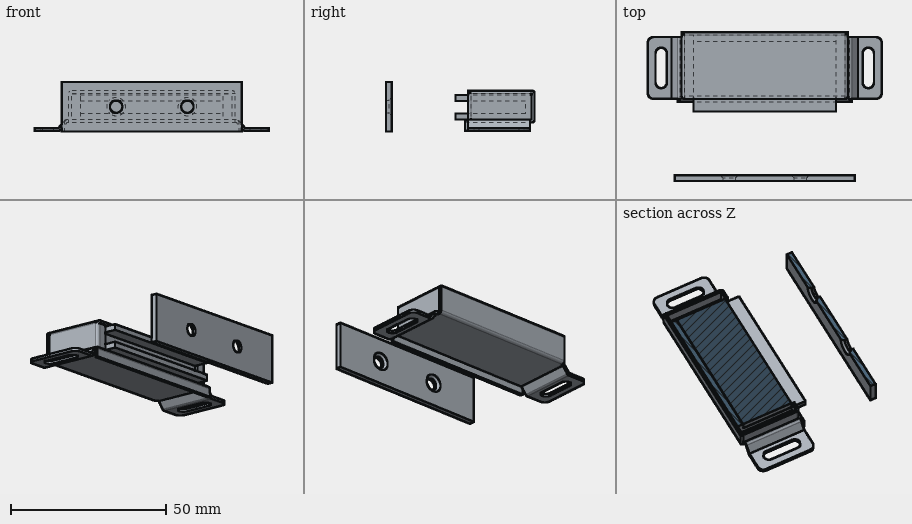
import cadquery as cq
import math


sheet = 1.0
seam = 0.1

housing_length = 53.6
housing_depth = 21.5
housing_top = 13.0
floor_top = 3.6
floor_bottom = floor_top - sheet
ceiling = housing_top - sheet
back_inside = housing_depth - sheet
side_inside = housing_length / 2 - sheet

total_length = 75.5
foot_depth = 20.0
foot_corner_radius = 2.0
foot_bend_start = 27.3
foot_bend_angle = 50.0
slot_length = 13.0
slot_width = 3.55
slot_offset = 33.4
lip_length = 2 * 28.1

yoke_length = 46.05
yoke_thickness = 2.0
yoke_height = 7.9
yoke_reach = 4.1
yoke_depth = yoke_reach + back_inside
magnet_height = yoke_height - 2 * yoke_thickness
magnet_depth = back_inside - yoke_thickness - sheet

strike_length = 58.05
strike_height = 16.0
strike_thickness = 2.0
strike_bottom = -0.2
strike_back = -24.5
strike_hole_diameter = 4.0
strike_hole_spacing = 22.95
countersink_diameter = 6.0
countersink_angle = 90.0


def block(x_size, y_size, z_size, y_min, z_min, x_center=0):
    """Box placed by its X centre, its front and its underside."""
    return (
        cq.Workplane("XY")
        .box(x_size, y_size, z_size, centered=(True, False, False))
        .translate((x_center, y_min, z_min))
    )


def make_shell():
    """Box of folded sheet, with its front open between two narrow side returns."""
    height = housing_top - floor_bottom
    plain = block(housing_length, housing_depth, height, 0, floor_bottom)
    top_folds = plain.edges("|Y and >Z").fillet(sheet)
    back_folds = plain.edges("|X and >Y").fillet(sheet)
    return_folds = plain.edges("|Z and <Y").fillet(sheet)
    shell = top_folds.intersect(back_folds).intersect(return_folds)
    cavity = block(2 * side_inside, back_inside - sheet, ceiling - floor_top, sheet, floor_top)
    mouth = block(yoke_length, sheet, ceiling - floor_top, 0, floor_top)
    return shell.cut(cavity).cut(mouth)


def cut_seams(shell):
    """Open the gaps that leave the sides hanging from the top only."""
    return_width = side_inside - yoke_length / 2
    return_center = (side_inside + yoke_length / 2) / 2
    wall_height = ceiling - floor_top
    for side in (-1, 1):
        wall_center = side * (side_inside + sheet / 2)
        back_seam = block(sheet, seam, wall_height, back_inside - seam, floor_top, wall_center)
        floor_seam = block(sheet, back_inside, seam, 0, floor_top, wall_center)
        return_floor_seam = block(return_width, sheet, seam, 0, floor_top, side * return_center)
        return_top_seam = block(return_width, sheet, seam, 0, ceiling - seam, side * return_center)
        shell = shell.cut(back_seam).cut(floor_seam).cut(return_floor_seam).cut(return_top_seam)
    return shell


def make_foot():
    """Foot on the +X side: floor strip, sloping leg and slotted pad."""
    angle = math.radians(foot_bend_angle)
    arc_x = sheet * math.sin(angle)
    arc_z = sheet * math.cos(angle)
    half_arc_x = sheet * math.sin(angle / 2)
    half_arc_z = sheet * math.cos(angle / 2)
    leg_end_x = foot_bend_start + arc_x + (floor_bottom + arc_z - sheet) / math.tan(angle)
    end_x = total_length / 2
    foot = (
        cq.Workplane("XZ")
        .moveTo(side_inside, floor_top)
        .lineTo(foot_bend_start, floor_top)
        .threePointArc(
            (foot_bend_start + half_arc_x, floor_bottom + half_arc_z),
            (foot_bend_start + arc_x, floor_bottom + arc_z),
        )
        .lineTo(leg_end_x, sheet)
        .lineTo(end_x, sheet)
        .lineTo(end_x, 0)
        .lineTo(leg_end_x, 0)
        .threePointArc(
            (leg_end_x - half_arc_x, sheet - half_arc_z),
            (leg_end_x - arc_x, sheet - arc_z),
        )
        .lineTo(foot_bend_start, floor_bottom)
        .lineTo(side_inside, floor_bottom)
        .close()
        .extrude(-foot_depth)
    )
    foot = foot.edges("|Z and >X").fillet(foot_corner_radius)
    slot = (
        cq.Workplane("XY")
        .center(slot_offset, foot_depth / 2)
        .slot2D(slot_length, slot_width, 90)
        .extrude(sheet)
    )
    return foot.cut(slot)


def make_lip():
    """Lip folded down from the front of the floor, with its upper ends rounded like the feet.

    The folds are rounded on a deeper block, which is then trimmed to one sheet thickness.
    """
    thick_lip = block(lip_length, foot_depth, floor_top, -sheet, 0)
    rounded = thick_lip.edges(">Z and (<X or >X or <Y)").fillet(sheet)
    return rounded.intersect(block(lip_length, sheet, floor_top, -sheet, 0))


def make_housing():
    foot = make_foot()
    housing = cut_seams(make_shell())
    housing = housing.union(foot).union(foot.mirror("YZ"))
    return housing.union(make_lip())


def make_yoke():
    """U-shaped yoke lying on the floor; its two arms are the poles."""
    yoke = block(yoke_length, yoke_depth, yoke_height, -yoke_reach, floor_top)
    opening = block(
        yoke_length,
        yoke_depth - yoke_thickness,
        magnet_height,
        -yoke_reach,
        floor_top + yoke_thickness,
    )
    return yoke.cut(opening)


def make_magnet():
    """Magnet between the poles, set back from the mouth by one sheet thickness."""
    return block(yoke_length, magnet_depth, magnet_height, sheet, floor_top + yoke_thickness)


def make_strike():
    """Flat strike plate with two through holes, countersunk on the side facing the poles."""
    strike = block(
        strike_length, strike_thickness, strike_height, strike_back - strike_thickness, strike_bottom
    )
    return (
        strike.faces(">Y")
        .workplane(centerOption="CenterOfBoundBox")
        .rarray(strike_hole_spacing, 0.75, 2, 1)
        .cskHole(strike_hole_diameter, countersink_diameter, countersink_angle)
    )


housing = make_housing()
yoke = make_yoke()
magnet = make_magnet()
strike = make_strike()

result = cq.Compound.makeCompound([housing.val(), yoke.val(), magnet.val(), strike.val()])